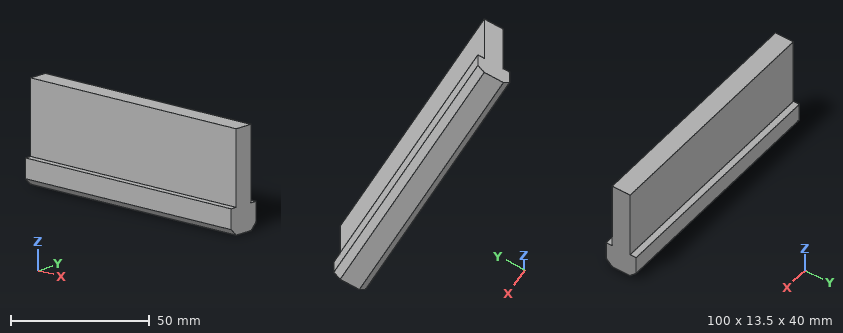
import cadquery as cq

length = 100.0
foot_width = 13.5
height = 40.0

web_thickness = 8.1
foot_height = 10.5
foot_chamfer = (foot_width - web_thickness) / 2

foot = (
    cq.Workplane("XY")
    .box(length, foot_width, foot_height, centered=(True, True, False))
    .edges("|X and <Z")
    .chamfer(foot_chamfer)
)

web = cq.Workplane("XY").box(length, web_thickness, height, centered=(True, True, False))

result = foot.union(web)